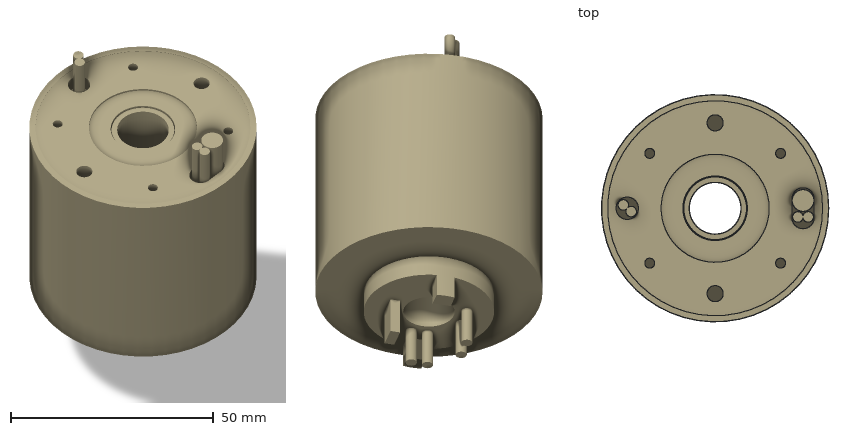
import cadquery as cq
import math

flange_bottom_z = 9.5
prong_bottom_z = 3.5
flange_top_z = 15.0
body_bottom_z = 15.45
body_top_z = 67.5
wire_top_z = 76.5

body_radius = 28.0
neck_radius = 14.0
flange_radius = 16.1
bore_radius = 6.35

rim_inner_radius = 26.5
rim_height = 0.1
face_z = body_top_z - rim_height
recess_radius = 13.3
recess_depth = 0.5
shaft_radius = 7.7
shaft_gap = 0.2
shaft_drop = 0.4
shaft_gap_depth = 1.0

bolt_circle_radius = 21.0
small_hole_radius = 1.2
small_hole_angle = 40.0
large_hole_radius = 2.0
hole_depth = 7.65

wire_radius = 1.3
wire_spacing = 2.5
outlet_radius = 2.75
outlet_offset = 21.65
outlet_depth = 3.8
slot_length = 10.1
cable_radius = 2.7
cable_y = 1.9
round_outlet_wire_angle = 140.0
slot_wire_y = -2.15

prong_width = 4.6
prong_inner_x = 12.1
pin_radius = 1.4
front_pin_x = 2.7
front_pin_y = -8.95
side_pin_x = 9.1
side_pin_y = 2.1
blade_length = 5.5
blade_width = 2.45
blade_y = 9.3


def cylinder(radius, bottom, top, x=0.0, y=0.0):
    """Upright cylinder between two heights."""
    return cq.Workplane("XY", origin=(x, y, bottom)).circle(radius).extrude(top - bottom)


def ring(outer_radius, inner_radius, bottom, top):
    """Upright tube centred on the main axis."""
    return cylinder(outer_radius, bottom, top).cut(cylinder(inner_radius, bottom, top))


def make_housing():
    """Round body with the neck and flange below it."""
    body = cylinder(body_radius, body_bottom_z, body_top_z)
    neck = cylinder(neck_radius, flange_top_z, body_bottom_z)
    flange = cylinder(flange_radius, flange_bottom_z, flange_top_z)
    return body.union(neck).union(flange)


def cut_top_face(part):
    """Face inside a fine rim, its shallow recess and the sunken hollow shaft end."""
    recess_floor_z = face_z - recess_depth
    shaft_top_z = recess_floor_z - shaft_drop
    gap_radius = shaft_radius + shaft_gap
    part = part.cut(cylinder(rim_inner_radius, face_z, body_top_z))
    part = part.cut(cylinder(recess_radius, recess_floor_z, face_z))
    part = part.cut(cylinder(gap_radius, shaft_top_z, recess_floor_z))
    part = part.cut(ring(gap_radius, shaft_radius, shaft_top_z - shaft_gap_depth, shaft_top_z))
    return part.cut(cylinder(bore_radius, flange_bottom_z, body_top_z))


def cut_mounting_holes(part):
    """Four small and two large blind holes in the top face."""
    small_x = bolt_circle_radius * math.cos(math.radians(small_hole_angle))
    small_y = bolt_circle_radius * math.sin(math.radians(small_hole_angle))
    bottom = face_z - hole_depth
    for side_y in (-1, 1):
        part = part.cut(cylinder(large_hole_radius, bottom, face_z, 0, side_y * bolt_circle_radius))
        for side_x in (-1, 1):
            part = part.cut(
                cylinder(small_hole_radius, bottom, face_z, side_x * small_x, side_y * small_y)
            )
    return part


def add_wires(part):
    """Wire outlets in the top face, with the wires standing on their floors."""
    floor_z = face_z - outlet_depth
    slot = (
        cq.Workplane("XY", origin=(outlet_offset, 0, floor_z))
        .slot2D(slot_length, 2 * outlet_radius, 90)
        .extrude(outlet_depth)
    )
    part = part.cut(slot)
    part = part.cut(cylinder(outlet_radius, floor_z, face_z, -outlet_offset, 0))

    angle = math.radians(round_outlet_wire_angle)
    for side in (-1, 1):
        reach = side * wire_spacing / 2
        wire_x = -outlet_offset + reach * math.cos(angle)
        wire_y = reach * math.sin(angle)
        part = part.union(cylinder(wire_radius, floor_z, wire_top_z, wire_x, wire_y))
        part = part.union(cylinder(wire_radius, floor_z, wire_top_z, outlet_offset + reach, slot_wire_y))
    return part.union(cylinder(cable_radius, floor_z, wire_top_z, outlet_offset, cable_y))


def add_prongs(part):
    """Two opposite prongs whose outer faces follow the flange."""
    prong_length = flange_radius - prong_inner_x
    disc = cylinder(flange_radius, prong_bottom_z, flange_bottom_z)
    for side in (-1, 1):
        block = cq.Workplane("XY").box(
            prong_length, prong_width, flange_bottom_z - prong_bottom_z, centered=(True, True, False)
        )
        block = block.translate((side * (prong_inner_x + prong_length / 2), 0, prong_bottom_z))
        part = part.union(block.intersect(disc))
    return part


def add_pins(part):
    """Two pairs of round pins and one flat blade under the flange."""
    for side in (-1, 1):
        part = part.union(cylinder(pin_radius, 0, flange_bottom_z, side * front_pin_x, front_pin_y))
        part = part.union(cylinder(pin_radius, 0, flange_bottom_z, side_pin_x, side * side_pin_y))
    blade = cq.Workplane("XY").box(blade_length, blade_width, flange_bottom_z, centered=(True, True, False))
    return part.union(blade.translate((0, blade_y, 0)))


result = make_housing()
result = cut_top_face(result)
result = cut_mounting_holes(result)
result = add_wires(result)
result = add_prongs(result)
result = add_pins(result)